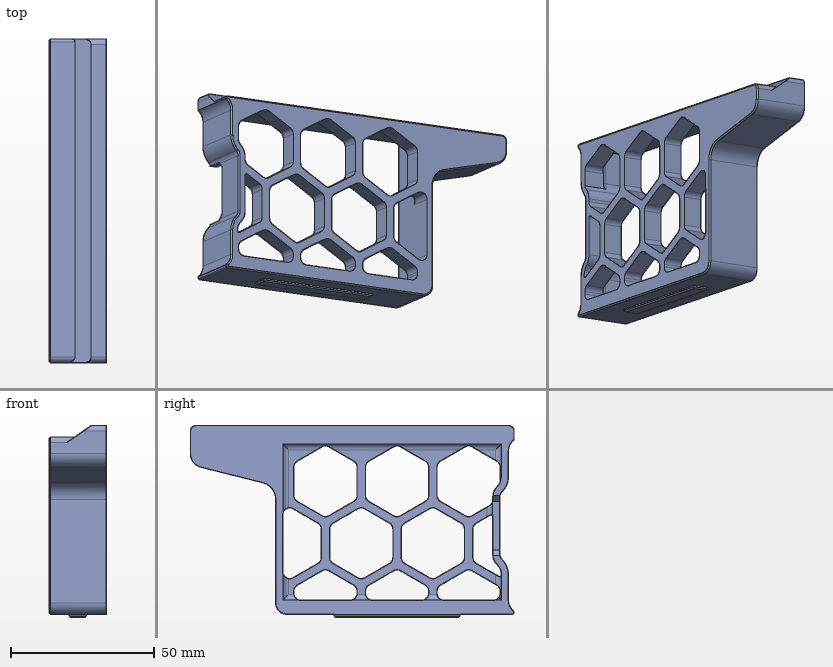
import cadquery as cq
import math

width = 20.0
length = 113.1
shelf_height = 62.0
ridge_height = 66.0
edge_chamfer = 0.5

shelf_width = 9.0
slope_angle = 35.0
slope_run = (ridge_height - shelf_height) / math.tan(math.radians(slope_angle))

lip_radius = 1.0
top_radius = 2.0
foot_radius = 4.0
arm_tip_radius = 5.0
arm_root_radius = 6.0

wall_y = -83.3
arm_angle = 14.0
arm_tip_z = 56.2

wall_thickness = 2.5
floor_z = 5.0
web_thickness = 7.0
web_fillet = 2.0

mid_z = shelf_height / 2
recess_depth = 2.0
step_depth = 3.0
deep_half_height = 10.0
cove_radius = 5.0
bend_radius = 5.0

hex_flats = 22.0
hex_pitch = 25.0
hex_columns = 3
hex_row_pitch = hex_pitch * math.cos(math.radians(30))
hex_radius = 2.3
sharp_hex_radius = 0.6
hex_corner_distance = hex_flats / 2 / math.cos(math.radians(30))
hex_column_y = -15.9
hex_bottom_row_z = 3.2

key_width = 6.0
key_length = 44.0
key_height = 1.0
key_chamfer = 0.5
key_x = width / 2
key_y = hex_column_y - hex_pitch

notch_x = 12.0
notch_half_height = 10.5
notch_corner = 2.0


def arc_point(center_y, center_z, radius, angle):
    """Point on a circle in the YZ plane, angle in degrees from +Y towards +Z."""
    turn = math.radians(angle)
    return (center_y + radius * math.cos(turn), center_z + radius * math.sin(turn))


def arc(path, center_y, center_z, radius, start_angle, end_angle):
    """Draw a circular arc from the current point, which lies at start_angle."""
    middle_angle = (start_angle + end_angle) / 2
    return path.threePointArc(
        arc_point(center_y, center_z, radius, middle_angle),
        arc_point(center_y, center_z, radius, end_angle),
    )


def line_and_arc(path, center_y, center_z, radius, start_angle, end_angle):
    """Draw a line to the start of a circular arc, then the arc itself."""
    path = path.lineTo(*arc_point(center_y, center_z, radius, start_angle))
    return arc(path, center_y, center_z, radius, start_angle, end_angle)


cove_center_y = -recess_depth + cove_radius
cove_angle = math.degrees(math.acos(1 - recess_depth / cove_radius))
cove_offset = mid_z - lip_radius - cove_radius * math.sin(math.radians(cove_angle))

bend_angle = math.degrees(math.acos(1 - step_depth / 2 / bend_radius))
deep_bend_y = -recess_depth - step_depth - wall_thickness + bend_radius
outer_bend_y = -recess_depth - wall_thickness - bend_radius
outer_bend_offset = deep_half_height + 2 * bend_radius * math.sin(math.radians(bend_angle))

arm_tip_y = -length + arm_tip_radius
root_center_y = wall_y - arm_root_radius
tip_end = arc_point(arm_tip_y, arm_tip_z, arm_tip_radius, 270 - arm_angle)
root_start_y, root_rise = arc_point(root_center_y, 0, arm_root_radius, 90 - arm_angle)
arm_drop = (root_start_y - tip_end[0]) * math.tan(math.radians(arm_angle))
root_center_z = tip_end[1] - arm_drop - root_rise


def draw_step(path, inset):
    """Draw the stepped wall upwards, set back by inset from its outer surface."""
    outer_radius = bend_radius + wall_thickness - inset
    deep_radius = bend_radius - wall_thickness + inset
    low_outer_z = mid_z - outer_bend_offset
    high_outer_z = mid_z + outer_bend_offset
    low_deep_z = mid_z - deep_half_height
    high_deep_z = mid_z + deep_half_height
    path = line_and_arc(path, outer_bend_y, low_outer_z, outer_radius, 0, bend_angle)
    path = arc(path, deep_bend_y, low_deep_z, deep_radius, 180 + bend_angle, 180)
    path = line_and_arc(path, deep_bend_y, high_deep_z, deep_radius, 180, 180 - bend_angle)
    return arc(path, outer_bend_y, high_outer_z, outer_radius, -bend_angle, 0)


def draw_recess(path):
    """Draw the recessed +Y end upwards, from the lower lip to the upper one."""
    low_cove_z = mid_z - cove_offset
    high_cove_z = mid_z + cove_offset
    path = arc(path, cove_center_y, low_cove_z, cove_radius, 180 + cove_angle, 180)
    path = draw_step(path, 0)
    return line_and_arc(path, cove_center_y, high_cove_z, cove_radius, 180, 180 - cove_angle)


def draw_outline(top_z, front_radius):
    """Body outline with a flat top at top_z; front_radius rounds its top +Y corner."""
    path = cq.Workplane("YZ", origin=(edge_chamfer, 0, 0)).moveTo(wall_y + foot_radius, 0)
    path = line_and_arc(path, -lip_radius, lip_radius, lip_radius, -90, 0)
    path = draw_recess(path)
    if top_z - front_radius > shelf_height - lip_radius:
        path = path.lineTo(0, top_z - front_radius)
    path = arc(path, -front_radius, top_z - front_radius, front_radius, 0, 90)
    path = line_and_arc(path, -length + top_radius, top_z - top_radius, top_radius, 90, 180)
    path = line_and_arc(path, arm_tip_y, arm_tip_z, arm_tip_radius, 180, 270 - arm_angle)
    path = line_and_arc(path, root_center_y, root_center_z, arm_root_radius, 90 - arm_angle, 0)
    path = line_and_arc(path, wall_y + foot_radius, foot_radius, foot_radius, 180, 270)
    return path.close()


def make_ridge():
    """High tier, kept only below the sloped step and beside the low shelf."""
    slope_foot_z = shelf_height - top_radius
    slope_foot_x = shelf_width - top_radius / math.tan(math.radians(slope_angle))
    keep = (
        cq.Workplane("XZ")
        .moveTo(slope_foot_x, 0)
        .lineTo(width, 0)
        .lineTo(width, ridge_height)
        .lineTo(shelf_width + slope_run, ridge_height)
        .lineTo(slope_foot_x, slope_foot_z)
        .close()
        .extrude(length)
    )
    tier = draw_outline(ridge_height, top_radius).extrude(width - edge_chamfer)
    return tier.intersect(keep)


def make_body():
    """Shelf tier with a chamfered -X face, joined to the ridge."""
    shelf = draw_outline(shelf_height, lip_radius).extrude(width - edge_chamfer)
    chamfered_rim = draw_outline(shelf_height, lip_radius).extrude(-edge_chamfer, taper=45)
    return shelf.union(chamfered_rim).union(make_ridge())


def make_key():
    """Low bar under the body with chamfered lower edges."""
    return (
        cq.Workplane("XY")
        .box(key_width, key_length, key_height, centered=(True, True, False))
        .faces("<Z")
        .chamfer(key_chamfer)
        .translate((key_x, key_y, -key_height))
    )


def make_cavity(start_x):
    """Interior space from start_x to the +X face, inset from the walls and the shelf."""
    back_y = wall_y + wall_thickness
    front_y = -recess_depth - wall_thickness
    ceiling_z = shelf_height - wall_thickness
    path = cq.Workplane("YZ", origin=(start_x, 0, 0)).moveTo(back_y, floor_z)
    path = draw_step(path.lineTo(front_y, floor_z), wall_thickness)
    path = path.lineTo(front_y, ceiling_z).lineTo(back_y, ceiling_z)
    return path.close().extrude(width - start_x)


def make_hexagon(center_y, center_z):
    """Full-width hexagonal prism, with two corners pointing up and down."""
    corners = [
        arc_point(center_y, center_z, hex_corner_distance, 30 + 60 * side) for side in range(6)
    ]
    return cq.Workplane("YZ").polyline(corners).close().extrude(width)


def make_hole(center_y, center_z, space):
    """Hexagonal hole with rounded corners, trimmed to the interior space."""
    trim_y = wall_y + wall_thickness
    trim = cq.Workplane("XY").box(width, length, ridge_height, centered=False)
    trim = trim.translate((0, trim_y, floor_z))
    hexagon = make_hexagon(center_y, center_z).intersect(trim)
    return hexagon.edges("|X").fillet(hex_radius).intersect(space)


def round_corner(hole, near_y, near_z, radius):
    """Round the hole's corner that lies nearest to the given place."""
    nearest = cq.selectors.NearestToPointSelector((width / 2, near_y, near_z))
    return hole.edges("|X").edges(nearest).fillet(radius)


def make_perforation():
    """Staggered rows of honeycomb holes, reaching through the web."""
    space = make_cavity(0)
    outer_y = -recess_depth - wall_thickness
    deep_y = outer_y - step_depth
    middle_row_z = hex_bottom_row_z + hex_row_pitch
    top_row_z = middle_row_z + hex_row_pitch

    partial_hole = make_hexagon(hex_column_y + hex_pitch / 2, middle_row_z).intersect(space)
    partial_hole = partial_hole.edges("|X and <Y").fillet(hex_radius)
    for wall_side_y, corner_z in (
        (deep_y, middle_row_z + hex_corner_distance),
        (outer_y, middle_row_z - hex_corner_distance),
    ):
        partial_hole = round_corner(partial_hole, wall_side_y, corner_z, sharp_hex_radius)

    stepped_hole = make_hole(hex_column_y, top_row_z, space)
    stepped_hole = round_corner(stepped_hole, deep_y, top_row_z - hex_corner_distance, hex_radius)

    holes = partial_hole.union(stepped_hole)
    for column in range(hex_columns):
        column_y = hex_column_y - column * hex_pitch
        holes = holes.union(make_hole(column_y, hex_bottom_row_z, space))
        holes = holes.union(make_hole(column_y - hex_pitch / 2, middle_row_z, space))
        if column > 0:
            holes = holes.union(make_hole(column_y, top_row_z, space))
    return holes


def make_notch():
    """Opening in the +Y wall with bevelled inner corners, open towards +X."""
    opening_depth = 2 * (wall_thickness + step_depth)
    opening = cq.Workplane("XY").box(width - notch_x, opening_depth, 2 * notch_half_height)
    opening = opening.edges("<X and |Y").chamfer(notch_corner)
    return opening.translate(((width + notch_x) / 2, -recess_depth - step_depth, mid_z))


cavity = make_cavity(web_thickness).faces("<X").edges().fillet(web_fillet)

result = make_body().union(make_key())
result = result.cut(cavity).cut(make_perforation()).cut(make_notch())